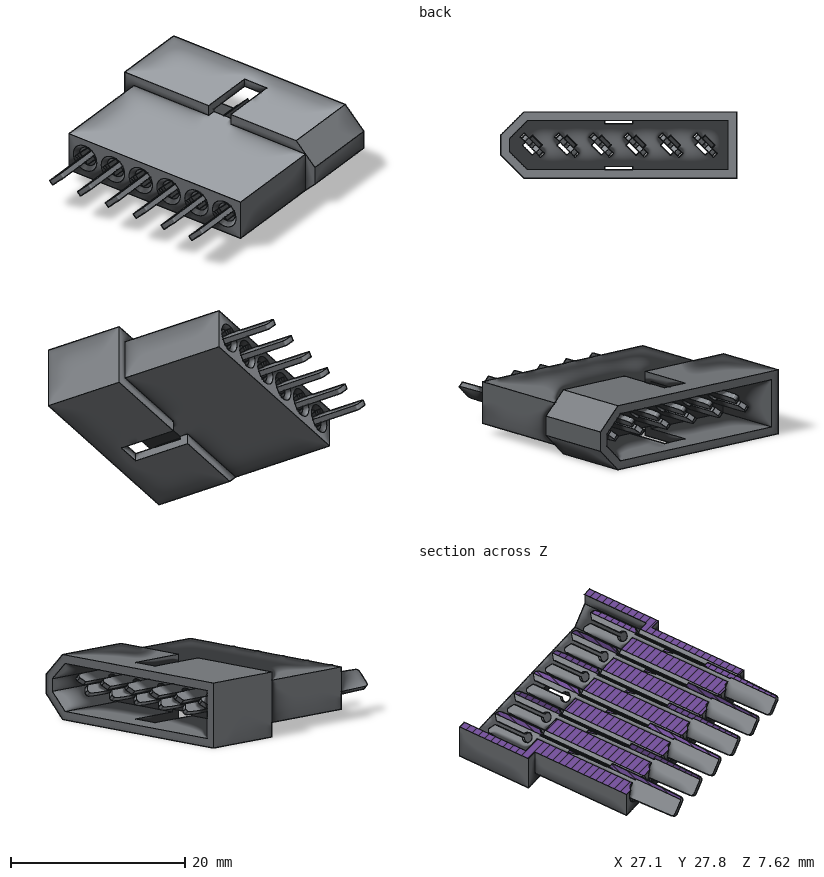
import cadquery as cq
import math

contact_count = 6
pitch = 3.97

shroud_width = 27.13
shroud_height = 7.62
shroud_step = 1.33
body_width = shroud_width - 2 * shroud_step
body_height = shroud_height - 2 * shroud_step
key_chamfer = 2 * shroud_step
shroud_wall = 1.0
shroud_start = 12.62
cavity_floor = 13.64
housing_length = 22.14
window_width = 3.16
window_end = 19.6

roll_angle = -45
blade_thickness = 0.62
overall_length = 27.82
tail_length = overall_length - housing_length
tail_tip_half_width = 1.21
blade_half_width = 1.36
neck_half_width = 1.02
tail_corner_radius = 0.45
blade_end = 4.2
head_half_width = 1.46
head_start = 14.2
neck_slope_length = 0.6
neck_end = head_start - neck_slope_length
fork_taper_start = 18.5
fork_tip = 19.9
fork_tip_half_width = 1.36
fork_corner_radius = 0.35
lead_in_half_width = 0.9
lead_in_depth = 0.5
slit_half_width = 0.22
relief_radius = 0.6
relief_position = 15.06

half_thickness = blade_thickness / 2
wing_inner = 0.8
wing_outer = 1.33
wing_top = 0.84
wing_start = 0.55
wing_end = 3.8
lance_half_width = 0.76
lance_top = 0.79
lance_start = 4.5
lance_length = 5.0

mouth_radius = 1.67
mouth_throat_radius = 1.17
mouth_depth = mouth_radius - mouth_throat_radius
blade_slot_length = 3.3
lance_slot_length = 2 * wing_inner
lance_slot_height = 1.62

contact_positions = [(i - (contact_count - 1) / 2) * pitch for i in range(contact_count)]


def block(x_range, y_range, z_range):
    """Axis-aligned block from its (low, high) limits."""
    limits = (x_range, y_range, z_range)
    sizes = [high - low for low, high in limits]
    corner = cq.Vector(*[low for low, high in limits])
    return cq.Workplane("XY").box(*sizes, centered=False).translate(corner)


def place_contact(shape, x):
    """Roll a shape about the contact axis and move it to its position."""
    return shape.rotate((0, 0, 0), (0, 1, 0), roll_angle).translate((x, 0, 0))


def keyed_prism(inset, y_start, y_end):
    """Shroud outline with the two chamfered +X corners, shrunk by inset."""
    half_width = shroud_width / 2 - inset
    half_height = shroud_height / 2 - inset
    chamfer = key_chamfer - inset * (2 - math.sqrt(2))
    outline = [
        (-half_width, -half_height),
        (half_width - chamfer, -half_height),
        (half_width, -half_height + chamfer),
        (half_width, half_height - chamfer),
        (half_width - chamfer, half_height),
        (-half_width, half_height),
    ]
    plane = cq.Workplane("XZ", origin=(0, y_start, 0))
    return plane.polyline(outline).close().extrude(-(y_end - y_start))


def wings(y_start):
    """The two folded wings along the blade edges, from y_start to the wing end."""
    heights = (half_thickness, wing_top)
    right = block((wing_inner, wing_outer), (y_start, wing_end), heights)
    left = block((-wing_outer, -wing_inner), (y_start, wing_end), heights)
    return right, left


def make_contact_opening():
    """Material removed from the housing for one contact, before rolling."""
    length = (0, housing_length)
    half_slot = blade_slot_length / 2
    opening = block((-half_slot, half_slot), length, (-half_thickness, half_thickness))
    half_length = lance_slot_length / 2
    half_height = lance_slot_height / 2
    lance_slot = block((-half_length, half_length), length, (-half_height, half_height))
    mouth = cq.Workplane(
        cq.Solid.makeCone(mouth_radius, mouth_throat_radius, mouth_depth,
                          cq.Vector(0, 0, 0), cq.Vector(0, 1, 0))
    )
    opening = opening.union(lance_slot).union(mouth)
    for wing_channel in wings(0):
        opening = opening.union(wing_channel)
    return opening


def make_housing():
    shroud = keyed_prism(0, shroud_start, housing_length)
    shroud = shroud.cut(keyed_prism(shroud_wall, cavity_floor, housing_length))
    half_window = window_width / 2
    half_height = shroud_height / 2
    windows = block(
        (-half_window, half_window), (shroud_start, window_end), (-half_height, half_height)
    )
    shroud = shroud.cut(windows)

    body = block(
        (-body_width / 2, body_width / 2),
        (0, cavity_floor),
        (-body_height / 2, body_height / 2),
    )
    housing = body.union(shroud)
    opening = make_contact_opening()
    for x in contact_positions:
        housing = housing.cut(place_contact(opening, x))
    return housing


def make_blade():
    """Flat contact blade: tail, neck and forked head."""
    right_edge = [
        (tail_tip_half_width, -tail_length),
        (blade_half_width, 0),
        (blade_half_width, blade_end),
        (neck_half_width, blade_end),
        (neck_half_width, neck_end),
        (head_half_width, head_start),
        (head_half_width, fork_taper_start),
        (fork_tip_half_width, fork_tip),
    ]
    left_edge = [(-x, y) for x, y in reversed(right_edge)]
    plane = cq.Workplane("XY", origin=(0, 0, -half_thickness))
    blade = plane.polyline(right_edge + left_edge).close().extrude(blade_thickness)
    blade = blade.faces("<Y").edges("|Z").fillet(tail_corner_radius)
    blade = blade.faces(">Y").edges("|Z").fillet(fork_corner_radius)

    slit_right = [
        (slit_half_width, relief_position),
        (slit_half_width, fork_tip - lead_in_depth),
        (lead_in_half_width, fork_tip),
    ]
    slit_left = [(-x, y) for x, y in reversed(slit_right)]
    slit = plane.polyline(slit_right + slit_left).close().extrude(blade_thickness)
    relief = plane.center(0, relief_position).circle(relief_radius).extrude(blade_thickness)
    return blade.cut(slit).cut(relief)


def make_lance():
    """Curved ramp that rises tangentially from the blade and ends in a step."""
    lance_end = lance_start + lance_length
    rise = lance_top - half_thickness
    arc_radius = (lance_length**2 + rise**2) / (2 * rise)
    half_angle = math.asin(lance_length / arc_radius) / 2
    arc_middle = (
        lance_start + arc_radius * math.sin(half_angle),
        half_thickness + arc_radius * (1 - math.cos(half_angle)),
    )
    return (
        cq.Workplane("YZ")
        .moveTo(lance_start, half_thickness)
        .threePointArc(arc_middle, (lance_end, lance_top))
        .lineTo(lance_end, half_thickness)
        .close()
        .extrude(lance_half_width, both=True)
    )


def make_contact():
    contact = make_blade().union(make_lance())
    for wing in wings(wing_start):
        contact = contact.union(wing)
    return contact


housing = make_housing()
contact = make_contact()
contacts = [place_contact(contact, x).val() for x in contact_positions]

result = cq.Compound.makeCompound([housing.val(), *contacts])